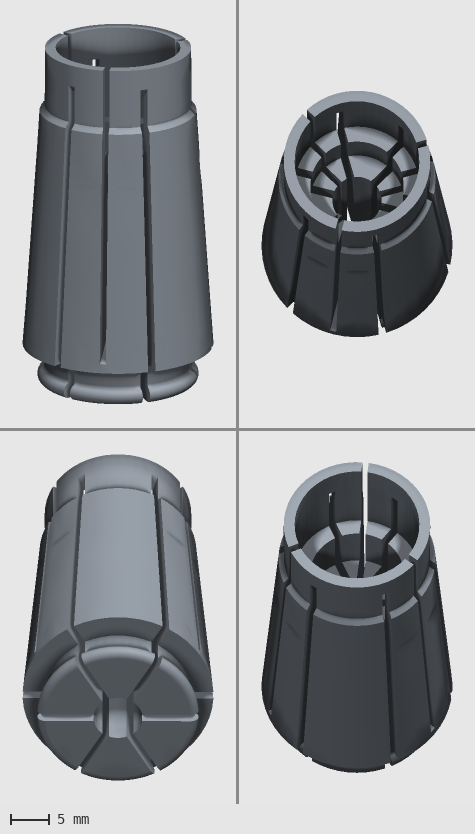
import cadquery as cq
import math

total_height = 45.1
cone_bottom_z = 5.05
cone_top_z = 36.7
cone_bottom_radius = 12.25
cone_top_radius = 10.07
sleeve_radius = 9.4

lip_round_radius = 1.0
lip_radius = 10.35
neck_fillet_radius = 0.5

upper_bore_radius = 8.0
upper_bore_floor_z = 33.0
middle_bore_radius = 6.0
middle_bore_floor_z = 26.4
clamping_bore_radius = 3.15

wide_slot_width = 1.0
wide_slot_count = 6
wide_slot_first_angle = 30.0
wide_slot_outer_top_z = 42.35

narrow_slot_width = 0.8
narrow_slot_count = 3
narrow_slot_first_angle = 60.0
saw_radius = 20.0
saw_center_radius = 15.4
saw_center_z = 26.0

clearance = 1.0
cutter_reach = cone_bottom_radius + clearance


def make_body():
    """Solid of revolution: lip, neck fillet, neck, cone, shoulder and sleeve."""
    shoulder_height = cone_top_radius - sleeve_radius

    round_center_radius = lip_radius - lip_round_radius
    fillet_center_radius = sleeve_radius + neck_fillet_radius
    center_distance = lip_round_radius + neck_fillet_radius
    center_offset = fillet_center_radius - round_center_radius
    fillet_center_z = lip_round_radius + math.sqrt(center_distance**2 - center_offset**2)
    contact_angle = math.acos(center_offset / center_distance)
    contact_radius = round_center_radius + lip_round_radius * math.cos(contact_angle)
    contact_z = lip_round_radius + lip_round_radius * math.sin(contact_angle)

    fillet_middle_radius = fillet_center_radius - neck_fillet_radius * math.cos(contact_angle / 2)
    fillet_middle_z = fillet_center_z - neck_fillet_radius * math.sin(contact_angle / 2)

    return (
        cq.Workplane("XZ")
        .lineTo(round_center_radius, 0)
        .threePointArc((lip_radius, lip_round_radius), (contact_radius, contact_z))
        .threePointArc((fillet_middle_radius, fillet_middle_z), (sleeve_radius, fillet_center_z))
        .lineTo(sleeve_radius, cone_bottom_z)
        .lineTo(cone_bottom_radius, cone_bottom_z)
        .lineTo(cone_top_radius, cone_top_z)
        .lineTo(sleeve_radius, cone_top_z + shoulder_height)
        .lineTo(sleeve_radius, total_height)
        .lineTo(0, total_height)
        .close()
        .revolve(360, (0, 0, 0), (0, 1, 0))
    )


def bore(radius, floor_z):
    """Round cutter from floor_z up to the top face."""
    return cq.Workplane("XY").workplane(offset=floor_z).circle(radius).extrude(total_height - floor_z)


def wide_slot():
    """Cutter along +X whose upper end rises outward at 45 degrees."""
    axis_top_z = wide_slot_outer_top_z - sleeve_radius
    return (
        cq.Workplane("XZ")
        .moveTo(0, -clearance)
        .lineTo(cutter_reach, -clearance)
        .lineTo(cutter_reach, axis_top_z + cutter_reach)
        .lineTo(0, axis_top_z)
        .close()
        .extrude(wide_slot_width / 2, both=True)
    )


def saw_edge_z(radius):
    """Height of the lower saw edge at a distance from the part axis."""
    return saw_center_z - math.sqrt(saw_radius**2 - (radius - saw_center_radius) ** 2)


def narrow_slot():
    """Cutter along +X, open at the top, with a saw-curved floor."""
    middle_radius = cutter_reach / 2
    cutter_top_z = total_height + clearance
    return (
        cq.Workplane("XZ")
        .moveTo(0, saw_edge_z(0))
        .threePointArc(
            (middle_radius, saw_edge_z(middle_radius)),
            (cutter_reach, saw_edge_z(cutter_reach)),
        )
        .lineTo(cutter_reach, cutter_top_z)
        .lineTo(0, cutter_top_z)
        .close()
        .extrude(narrow_slot_width / 2, both=True)
    )


def cut_around(body, cutter, count, first_angle):
    """Cut evenly spaced copies of a cutter around the part axis."""
    for index in range(count):
        angle = first_angle + index * 360 / count
        body = body.cut(cutter.rotate((0, 0, 0), (0, 0, 1), angle))
    return body


result = make_body()
result = result.cut(bore(upper_bore_radius, upper_bore_floor_z))
result = result.cut(bore(middle_bore_radius, middle_bore_floor_z))
result = result.cut(bore(clamping_bore_radius, 0))
result = cut_around(result, wide_slot(), wide_slot_count, wide_slot_first_angle)
result = cut_around(result, narrow_slot(), narrow_slot_count, narrow_slot_first_angle)